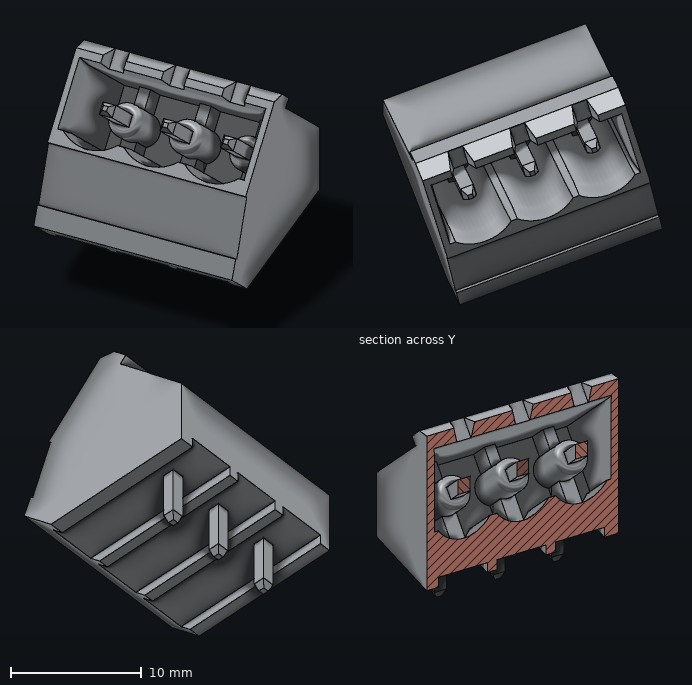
import cadquery as cq
import math


pole_count = 3
pole_pitch = 5.08
pole_places = [(i - (pole_count - 1) / 2) * pole_pitch for i in range(pole_count)]

housing_width = 16.65
housing_run = 16.5
housing_height = 14.5
back_height = 6.0
latch_overhang = 0.58
latch_run = 5.8
latch_top_run, latch_top_height = 7.03, 14.21
peak_run = 8.55
mouth_drop = 5.38
lip_step = 0.2
front_foot_run, front_foot_height = 15.59, 4.26
ridge_run, ridge_height = 15.81, 4.4
nose_height = 2.85

pin_width = 1.08
pin_thickness = 1.0
elbow_run, elbow_height = 3.89, 4.45
solder_length = 4.1
tip_length = 0.7
solder_tip_width = 0.5
contact_tip_width = 0.39

mouth_level = (peak_run + housing_height - elbow_run - elbow_height) / math.sqrt(2)
contact_recess = 1.26
taper_depth = 1.75
contact_level = mouth_level - contact_recess
taper_level = mouth_level - taper_depth
floor_level = -1.05
web_level = 1.45
boss_level = 4.04

mouth_half_width, socket_half_width = 7.81, 7.6
mouth_top, socket_top = 3.16, 2.94
mouth_ledge, socket_ledge = -2.59, -2.47
mouth_scallop_bottom, socket_scallop_bottom = -3.5, -3.46
mouth_scallop_half_chord, socket_scallop_half_chord = 2.29, 2.23

boss_diameter = 2.75
boss_fillet = 0.5
upper_web_width = 0.93
lower_web_width = 1.23

notch_top_width = 1.92
notch_floor_width = 1.19
notch_reach = 4.84

pocket_width = 4.2
pocket_height = 0.93
pocket_shift = -0.106

contact_plane = cq.Plane(
    origin=(0, -elbow_run, elbow_height), xDir=(1, 0, 0), normal=(0, -1, 1)
)


def contact_section(level, x=0.0):
    """Workplane across a contact leg at a level along it, centred x from the middle."""
    return cq.Workplane(contact_plane).workplane(offset=level).center(x, 0)


def body_block():
    """Solid outline of the housing, extruded over its full width."""
    inner_latch_run = latch_run + latch_overhang
    lip_run = peak_run + mouth_drop
    lip_height = housing_height - mouth_drop
    outline = [
        (0, 0),
        (0, back_height),
        (inner_latch_run, back_height + inner_latch_run),
        (latch_run, back_height + inner_latch_run + latch_overhang),
        (latch_top_run, latch_top_height),
        (peak_run, housing_height),
        (lip_run, lip_height),
        (lip_run - lip_step, lip_height - lip_step),
        (front_foot_run, front_foot_height),
        (ridge_run, ridge_height),
        (housing_run, nose_height),
        (housing_run - nose_height, 0),
    ]
    points = [(-run, height) for run, height in outline]
    return cq.Workplane("YZ").polyline(points).close().extrude(housing_width / 2, both=True)


def socket_outline(level, half_width, top, ledge, scallop_bottom, half_chord):
    """Socket cross-section: straight top and sides, one scallop under each pole."""
    sketch = contact_section(level).moveTo(-half_width, top).lineTo(-half_width, ledge)
    for x in pole_places:
        sketch = sketch.lineTo(x - half_chord, ledge)
        sketch = sketch.threePointArc((x, scallop_bottom), (x + half_chord, ledge))
    return sketch.lineTo(half_width, ledge).lineTo(half_width, top).close()


def socket_cavity():
    """Straight socket with a flared entry at the mouth."""
    inner = (
        socket_half_width,
        socket_top,
        socket_ledge,
        socket_scallop_bottom,
        socket_scallop_half_chord,
    )
    mouth = (
        mouth_half_width,
        mouth_top,
        mouth_ledge,
        mouth_scallop_bottom,
        mouth_scallop_half_chord,
    )
    straight = socket_outline(floor_level, *inner).extrude(taper_level - floor_level)
    inner_wire = socket_outline(taper_level, *inner).wire().val()
    mouth_wire = socket_outline(mouth_level, *mouth).wire().val()
    entry = cq.Solid.makeLoft([inner_wire, mouth_wire], True)
    return straight.union(cq.Workplane(entry))


def floor_web(x, width, far_edge):
    """Low web on the socket floor, running from one contact leg to a far edge."""
    return (
        contact_section(floor_level, x)
        .center(0, far_edge / 2)
        .rect(width, abs(far_edge))
        .extrude(web_level - floor_level)
    )


def contact_support(x):
    """Webs across the socket floor with a rounded boss that carries one contact leg."""
    upper_web = floor_web(x, upper_web_width, socket_top)
    lower_web = floor_web(x, lower_web_width, socket_scallop_bottom)
    boss = (
        contact_section(floor_level, x)
        .circle(boss_diameter / 2)
        .extrude(boss_level - floor_level)
        .faces(cq.selectors.DirectionMinMaxSelector(contact_plane.zDir, True))
        .edges()
        .fillet(boss_fillet)
    )
    return boss.union(upper_web).union(lower_web)


def latch_notch(x):
    """Flared notch from over one contact leg out through the latch wall."""
    notch_depth = mouth_level - contact_level
    start = cq.Plane(
        origin=contact_plane.toWorldCoords((x, 0, contact_level)).toTuple(),
        xDir=(1, 0, 0),
        normal=contact_plane.yDir.toTuple(),
    )
    section = [
        (-notch_floor_width / 2, 0),
        (notch_floor_width / 2, 0),
        (notch_top_width / 2, -notch_depth),
        (-notch_top_width / 2, -notch_depth),
    ]
    return cq.Workplane(start).polyline(section).close().extrude(notch_reach)


def underside_pocket(x):
    """Pocket across the whole underside round one solder leg."""
    return (
        cq.Workplane("XY", origin=(x + pocket_shift, -housing_run / 2, 0))
        .rect(pocket_width, housing_run)
        .extrude(pocket_height)
    )


def leg(section, length, tip_width):
    """Straight leg with a pyramid tip, grown from a workplane at the elbow."""
    shaft_length = length - tip_length
    shaft = section.rect(pin_width, pin_thickness).extrude(shaft_length)
    tip = (
        section.workplane(offset=shaft_length)
        .rect(pin_width, pin_thickness)
        .workplane(offset=tip_length)
        .rect(tip_width, tip_width)
        .loft()
    )
    return shaft.union(tip)


def make_pin(x):
    """One bent pin: contact leg, rounded elbow and solder leg."""
    contact_leg = leg(contact_section(0, x), contact_level, contact_tip_width)
    elbow_point = (x, -elbow_run, elbow_height)
    solder_plane = cq.Plane(origin=elbow_point, xDir=(1, 0, 0), normal=(0, 0, -1))
    solder_leg = leg(cq.Workplane(solder_plane), elbow_height + solder_length, solder_tip_width)
    elbow = (
        cq.Workplane("YZ", origin=elbow_point)
        .circle(pin_thickness / 2)
        .extrude(pin_width / 2, both=True)
    )
    return contact_leg.union(solder_leg).union(elbow)


pins = [make_pin(x) for x in pole_places]

housing = body_block().cut(socket_cavity())
for x in pole_places:
    housing = housing.union(contact_support(x)).cut(latch_notch(x)).cut(underside_pocket(x))
for pin in pins:
    housing = housing.cut(pin)

result = cq.Compound.makeCompound([housing.solids().val(), *[pin.solids().val() for pin in pins]])